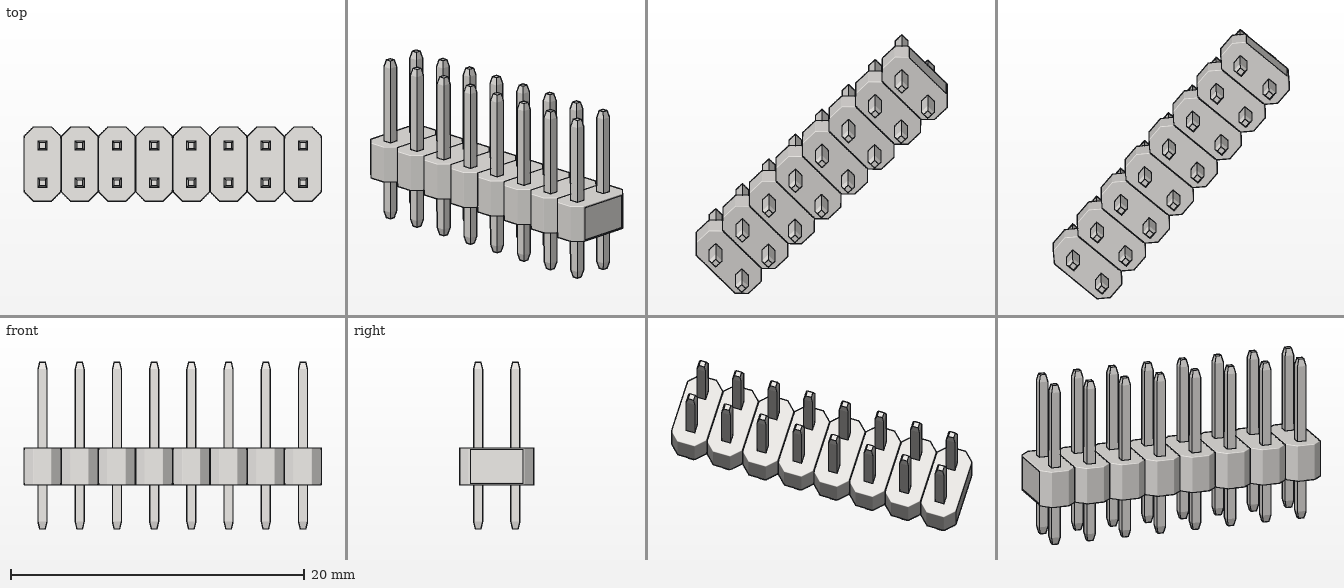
import cadquery as cq

overall_length = 20.32
column_count = 8
pins_per_column = 2
pitch = overall_length / column_count

segment_depth = pins_per_column * pitch
segment_height = pitch
corner_chamfer = pitch / 4
edge_radius = 0.05

pad_height = 0.02
pad_inset = 0.1
segment_width = pitch - 2 * pad_height

pin_width = 0.63
pin_above = 5.85
pin_below = 3.0
tip_length = 0.5
tip_width = 0.39


def make_segment_block():
    """Octagonal housing block with softened edges, standing on Z = 0."""
    block = cq.Workplane("XY").box(
        segment_width, segment_depth, segment_height, centered=(True, True, False)
    )
    return block.edges("|Z").chamfer(corner_chamfer).edges().fillet(edge_radius)


def make_pads():
    """Softened bar through the block whose two ends stand proud of its X faces."""
    flat_depth = segment_depth - 2 * corner_chamfer
    return (
        cq.Workplane("XY")
        .box(pitch, flat_depth - 2 * pad_inset, segment_height - 2 * pad_inset)
        .translate((0, 0, segment_height / 2))
        .edges()
        .fillet(edge_radius)
    )


def make_tip(base_z, direction):
    """Square taper that starts at base_z; direction is +1 for upward and -1 for downward."""
    return (
        cq.Workplane("XY", origin=(0, 0, base_z))
        .rect(pin_width, pin_width)
        .workplane(offset=direction * tip_length)
        .rect(tip_width, tip_width)
        .loft(ruled=True)
    )


def make_pin():
    """Straight square pin, tapered at both ends."""
    shank_bottom = tip_length - pin_below
    shank_top = segment_height + pin_above - tip_length
    shank = (
        cq.Workplane("XY", origin=(0, 0, shank_bottom))
        .rect(pin_width, pin_width)
        .extrude(shank_top - shank_bottom)
    )
    return shank.union(make_tip(shank_top, 1)).union(make_tip(shank_bottom, -1))


def make_column():
    """One header column: a housing segment and its pads and row of pins as a single solid."""
    column = make_segment_block().union(make_pads())
    pin = make_pin()
    for row in range(pins_per_column):
        pin_y = (row - (pins_per_column - 1) / 2) * pitch
        column = column.union(pin.translate((0, pin_y, 0)))
    return column


column = make_column()
columns = []
for index in range(column_count):
    column_x = (index - (column_count - 1) / 2) * pitch
    columns.append(column.translate((column_x, 0, 0)).val())

result = cq.Compound.makeCompound(columns)